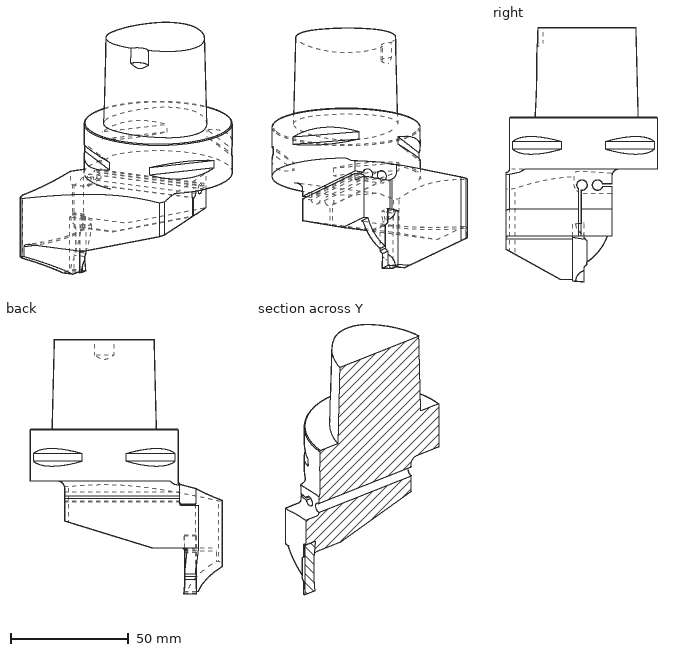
import cadquery as cq
import math


LENGTH_X = 81.6
LENGTH_Y = 64.5
LENGTH_Z = 108.0

SHANK_HEIGHT = 38.0
FLANK_MIDDLES = (-90, 30, 150)
SHANK_TAPER = math.degrees(math.atan(1 / 40))
LOBE_OFFSET = 7.7
LOBE_RADIUS = 15.5
FLANK_OFFSET = 13.9
FLANK_RADIUS = LOBE_RADIUS + math.hypot(
    LOBE_OFFSET * math.cos(math.radians(30)), FLANK_OFFSET + LOBE_OFFSET / 2
)

NOTCH_RADIUS = 4.9
NOTCH_DEPTH = 6.6
NOTCH_AXIS_Y = -22.1
NOTCH_CONE_HEIGHT = 3.5

FLANGE_RADIUS = 63.0 / 2
FLANGE_HEIGHT = 22.0
FLANGE_CHAMFER = 0.4
SLOT_Z = -12.0
SLOT_FLOOR_DISTANCE = 27.9
SLOT_FLOOR_HALF = 1.6
SLOT_MOUTH_HALF = 3.8
SLOT_COUNT = 4
FIRST_SLOT_ANGLE = 45

HEAD_LEFT = FLANGE_RADIUS - LENGTH_X
HEAD_RIGHT = 16.8
HEAD_FRONT = FLANGE_RADIUS - LENGTH_Y
HEAD_BACK = 12.1
HEAD_BOTTOM = -50.4
HEAD_CHAMFER = 1.6
SLOPE_START_X = -20.3
SLOPE_END_Z = -39.0
SHOULDER_RADIUS = 32.6
SHOULDER_Z = -23.4
SHOULDER_ANGLE = 15
SHOULDER_OUTER_RADIUS = 64.8
CORNER_MID = (31.9, -23.0)
ROOT_FILLET = 3.0

ARC_CENTRE_X = -81.3
BLADE_INNER_RADIUS = 42.5
BLADE_THICKNESS = 4.6
BLADE_OUTER_RADIUS = BLADE_INNER_RADIUS + BLADE_THICKNESS
BLADE_BOTTOM = -68.9
BLADE_FRONT_Z = -56.0
BLADE_SLOPE_END_Y = -9.8
BLADE_FILLET = 1.3
ARC_END_Y = 10.2
CLAMP_TIP_Z = -61.6
CLAMP_CURVE_MID = (6.8, -56.5)

RELIEF_X = -31.9
RELIEF_Y = -4.1
FINGER_TOP = -32.4
FINGER_FILLET = 1.1
RELIEF_FILLET = 4.3
RELIEF_HOLE_DIAMETER = 4.3
RELIEF_HOLE_Z = -28.8
BACK_HOLE_Y = 5.9
FRONT_HOLE_Y = -0.6
SLIT_WIDTH = 1.1
CLAMP_SLIT_Y = -1.5

INSERT_TOP = -44.9
INSERT_BOTTOM = SHANK_HEIGHT - LENGTH_Z
INSERT_MID_Z = (INSERT_TOP + INSERT_BOTTOM) / 2
INSERT_SEAT_Y = -4.8
INSERT_RAKE_Y = 0.2
INSERT_BACK_Y = 1.4
INSERT_BACK_HALF_LENGTH = 5.1
INSERT_END_RELIEF = 0.4
INSERT_LEFT = -39.1
INSERT_RIGHT = ARC_CENTRE_X + BLADE_OUTER_RADIUS
TIP_LEFT = -39.2
TIP_WIDTH = 5.5
TIP_LENGTH = 4.9
TIP_DEPTH = 3.6

MARGIN = 5.4
SPAN_X = HEAD_RIGHT - HEAD_LEFT + 2 * MARGIN


def polar(radius, degrees):
    angle = math.radians(degrees)
    return cq.Vector(radius * math.cos(angle), radius * math.sin(angle))


def along_x(start_x=HEAD_LEFT - MARGIN):
    """Workplane whose local axes are Y and Z and whose normal is +X."""
    return cq.Workplane("YZ", origin=(start_x, 0, 0))


def make_shank():
    half_flank = math.degrees(math.atan2(
        LOBE_OFFSET * math.cos(math.radians(30)), FLANK_OFFSET + LOBE_OFFSET / 2
    ))
    outline = cq.Workplane("XY")
    for middle in FLANK_MIDDLES:
        flank_centre = polar(FLANK_OFFSET, middle + 180)
        lobe_centre = polar(LOBE_OFFSET, middle + 60)
        start, crown, end = (
            flank_centre + polar(FLANK_RADIUS, middle + turn) for turn in (-half_flank, 0, half_flank)
        )
        lobe_crown = lobe_centre + polar(LOBE_RADIUS, middle + 60)
        lobe_end = lobe_centre + polar(LOBE_RADIUS, middle + 120 - half_flank)
        if middle == FLANK_MIDDLES[0]:
            outline = outline.moveTo(start.x, start.y)
        outline = outline.threePointArc(crown.toTuple()[:2], end.toTuple()[:2])
        outline = outline.threePointArc(lobe_crown.toTuple()[:2], lobe_end.toTuple()[:2])
    shank = outline.close().extrude(SHANK_HEIGHT, taper=SHANK_TAPER)
    return shank.cut(make_notch())


def make_notch():
    floor = SHANK_HEIGHT - NOTCH_DEPTH
    profile = [
        (0, SHANK_HEIGHT),
        (NOTCH_RADIUS, SHANK_HEIGHT),
        (NOTCH_RADIUS, floor),
        (0, floor - NOTCH_CONE_HEIGHT),
    ]
    drill = cq.Workplane("XZ").polyline(profile).close().revolve(360, (0, 0), (0, 1))
    return drill.translate((0, NOTCH_AXIS_Y, 0))


def make_flange():
    flange = cq.Workplane("XY").circle(FLANGE_RADIUS).extrude(-FLANGE_HEIGHT)
    flange = flange.faces(">Z").edges().chamfer(FLANGE_CHAMFER)
    profile = [
        (SLOT_FLOOR_DISTANCE, SLOT_Z - SLOT_FLOOR_HALF),
        (FLANGE_RADIUS, SLOT_Z - SLOT_MOUTH_HALF),
        (FLANGE_RADIUS, SLOT_Z + SLOT_MOUTH_HALF),
        (SLOT_FLOOR_DISTANCE, SLOT_Z + SLOT_FLOOR_HALF),
    ]
    slot = cq.Workplane("XZ").polyline(profile).close().extrude(FLANGE_RADIUS, both=True)
    for index in range(SLOT_COUNT):
        angle = FIRST_SLOT_ANGLE + index * 360 / SLOT_COUNT
        flange = flange.cut(slot.rotate((0, 0, 0), (0, 0, 1), angle))
    return flange


def head_plan():
    """Outline of the head seen along Z, with the concave blade arc on its left."""
    arc_end_x = ARC_CENTRE_X + math.sqrt(BLADE_INNER_RADIUS**2 - ARC_END_Y**2)
    arc_start_y = -math.sqrt(BLADE_INNER_RADIUS**2 - (HEAD_LEFT - ARC_CENTRE_X)**2)
    return (
        cq.Workplane("XY")
        .moveTo(HEAD_LEFT, arc_start_y)
        .lineTo(HEAD_LEFT, HEAD_FRONT + HEAD_CHAMFER)
        .lineTo(HEAD_LEFT + HEAD_CHAMFER, HEAD_FRONT)
        .lineTo(HEAD_RIGHT - HEAD_CHAMFER, HEAD_FRONT)
        .lineTo(HEAD_RIGHT, HEAD_FRONT + HEAD_CHAMFER)
        .lineTo(HEAD_RIGHT, HEAD_BACK)
        .lineTo(arc_end_x, HEAD_BACK)
        .lineTo(arc_end_x, ARC_END_Y)
        .threePointArc((ARC_CENTRE_X + BLADE_INNER_RADIUS, 0), (HEAD_LEFT, arc_start_y))
        .close()
    )


def make_head_block():
    block = head_plan().extrude(HEAD_BOTTOM)
    slope = [
        (SLOPE_START_X, HEAD_BOTTOM),
        (HEAD_RIGHT, SLOPE_END_Z),
        (HEAD_RIGHT, HEAD_BOTTOM),
    ]
    block = block.cut(cq.Workplane("XZ").polyline(slope).close().extrude(-2 * HEAD_FRONT, both=True))
    return block.intersect(make_shoulder_envelope())


def make_shoulder_envelope():
    """Turned shape that limits the head: neck corner and conical shoulder under the flange."""
    shoulder_width = SHOULDER_OUTER_RADIUS - SHOULDER_RADIUS
    outer_z = SHOULDER_Z - shoulder_width * math.tan(math.radians(SHOULDER_ANGLE))
    return (
        cq.Workplane("XZ")
        .moveTo(0, -FLANGE_HEIGHT)
        .lineTo(FLANGE_RADIUS, -FLANGE_HEIGHT)
        .threePointArc(CORNER_MID, (SHOULDER_RADIUS, SHOULDER_Z))
        .lineTo(SHOULDER_OUTER_RADIUS, outer_z)
        .lineTo(SHOULDER_OUTER_RADIUS, INSERT_BOTTOM)
        .lineTo(0, INSERT_BOTTOM)
        .close()
        .revolve(360, (0, 0), (0, 1))
    )


def blade_cylinder(radius):
    return cq.Workplane("XY").center(ARC_CENTRE_X, 0).circle(radius).extrude(BLADE_BOTTOM)


def make_blade():
    blade = head_plan().extrude(BLADE_BOTTOM)
    side = (
        along_x()
        .moveTo(HEAD_FRONT, HEAD_BOTTOM)
        .lineTo(HEAD_FRONT, BLADE_FRONT_Z)
        .lineTo(BLADE_SLOPE_END_Y, BLADE_BOTTOM)
        .lineTo(INSERT_SEAT_Y, BLADE_BOTTOM)
        .lineTo(INSERT_SEAT_Y, CLAMP_TIP_Z)
        .lineTo(INSERT_BACK_Y, CLAMP_TIP_Z)
        .threePointArc(CLAMP_CURVE_MID, (ARC_END_Y, HEAD_BOTTOM))
        .close()
        .extrude(SPAN_X)
    )
    return blade.intersect(blade_cylinder(BLADE_OUTER_RADIUS)).intersect(side)


def fillet_blade_root(head):
    """Round the corner between the head bottom and the convex side of the blade."""
    edge_spot = (ARC_CENTRE_X + BLADE_OUTER_RADIUS, BLADE_SLOPE_END_Y, HEAD_BOTTOM)
    blade_root = cq.selectors.NearestToPointSelector(edge_spot)
    return head.edges("%CIRCLE").edges(blade_root).fillet(BLADE_FILLET)


def make_finger_relief():
    """Space above the clamping finger, left of the neck."""
    relief = cq.Workplane("XY").box(
        RELIEF_X - HEAD_LEFT,
        HEAD_BACK + MARGIN - RELIEF_Y,
        -FLANGE_HEIGHT - FINGER_TOP,
        centered=False,
    )
    relief = relief.translate((HEAD_LEFT, RELIEF_Y, FINGER_TOP))
    relief = relief.edges("|X and <Y and <Z").fillet(RELIEF_FILLET)
    return relief.edges("|Y and >X and <Z").fillet(FINGER_FILLET)


def make_slits():
    holes = (
        along_x()
        .pushPoints([(BACK_HOLE_Y, RELIEF_HOLE_Z), (FRONT_HOLE_Y, RELIEF_HOLE_Z)])
        .circle(RELIEF_HOLE_DIAMETER / 2)
        .extrude(SPAN_X)
    )
    back_slit = (
        along_x()
        .center((BACK_HOLE_Y + HEAD_BACK) / 2, RELIEF_HOLE_Z)
        .rect(HEAD_BACK - BACK_HOLE_Y, SLIT_WIDTH)
        .extrude(SPAN_X)
    )
    clamp_slit = (
        along_x()
        .center(CLAMP_SLIT_Y, (RELIEF_HOLE_Z + HEAD_BOTTOM) / 2)
        .rect(SLIT_WIDTH, RELIEF_HOLE_Z - HEAD_BOTTOM)
        .extrude(SPAN_X)
    )
    return holes.union(back_slit).union(clamp_slit)


def make_insert():
    step = INSERT_BACK_Y - INSERT_RAKE_Y
    upper = [
        (INSERT_BACK_Y, INSERT_MID_Z),
        (INSERT_BACK_Y, INSERT_MID_Z + INSERT_BACK_HALF_LENGTH),
        (INSERT_RAKE_Y, INSERT_MID_Z + INSERT_BACK_HALF_LENGTH + step),
        (INSERT_RAKE_Y, INSERT_TOP),
        (INSERT_SEAT_Y, INSERT_TOP - INSERT_END_RELIEF),
        (INSERT_SEAT_Y, INSERT_MID_Z),
    ]
    body_half = (
        along_x(INSERT_LEFT)
        .polyline(upper)
        .close()
        .extrude(INSERT_RIGHT - INSERT_LEFT)
    )
    half = body_half.union(make_insert_tip())
    return half.union(half.mirror("XY", (0, 0, INSERT_MID_Z)))


def make_insert_tip():
    """Cutting end that flares wider than the insert body."""
    root_z = INSERT_TOP - TIP_LENGTH
    flare = [
        (INSERT_LEFT, root_z),
        (INSERT_RIGHT, root_z),
        (TIP_LEFT + TIP_WIDTH, INSERT_TOP),
        (TIP_LEFT, INSERT_TOP),
    ]
    tip = cq.Workplane("XZ").polyline(flare).close().extrude(MARGIN, both=True)
    relief_slope = INSERT_END_RELIEF / (INSERT_RAKE_Y - INSERT_SEAT_Y)
    side = (
        along_x()
        .moveTo(INSERT_RAKE_Y, INSERT_TOP)
        .lineTo(INSERT_RAKE_Y, root_z)
        .radiusArc((INSERT_RAKE_Y - TIP_DEPTH, INSERT_TOP - TIP_DEPTH * relief_slope), TIP_LENGTH)
        .close()
        .extrude(SPAN_X)
    )
    return tip.intersect(side)


def make_root_web():
    """Concave fillets between the flange underside and the right and back faces of the head."""
    width = HEAD_RIGHT + ROOT_FILLET - HEAD_LEFT
    depth = HEAD_BACK + ROOT_FILLET - (HEAD_FRONT + HEAD_CHAMFER)
    web = cq.Workplane("XY").box(width, depth, ROOT_FILLET, centered=False)
    web = web.translate((HEAD_LEFT, HEAD_FRONT + HEAD_CHAMFER, -FLANGE_HEIGHT - ROOT_FILLET))
    axis_z = -FLANGE_HEIGHT - ROOT_FILLET
    right_round = (
        cq.Workplane("XZ")
        .center(HEAD_RIGHT + ROOT_FILLET, axis_z)
        .circle(ROOT_FILLET)
        .extrude(SPAN_X, both=True)
    )
    back_round = along_x().center(HEAD_BACK + ROOT_FILLET, axis_z).circle(ROOT_FILLET).extrude(SPAN_X)
    web = web.cut(right_round).cut(back_round)
    return web.intersect(make_shoulder_envelope()).cut(blade_cylinder(BLADE_INNER_RADIUS))


def make_holder(insert):
    head = fillet_blade_root(make_head_block().union(make_blade()))
    holder = make_flange().union(head.union(make_root_web()))
    holder = holder.cut(make_finger_relief())
    holder = holder.cut(make_slits())
    holder = holder.union(make_shank())
    return holder.cut(insert)


insert = make_insert()
holder = make_holder(insert)
result = cq.Compound.makeCompound([holder.solids().val(), insert.solids().val()])